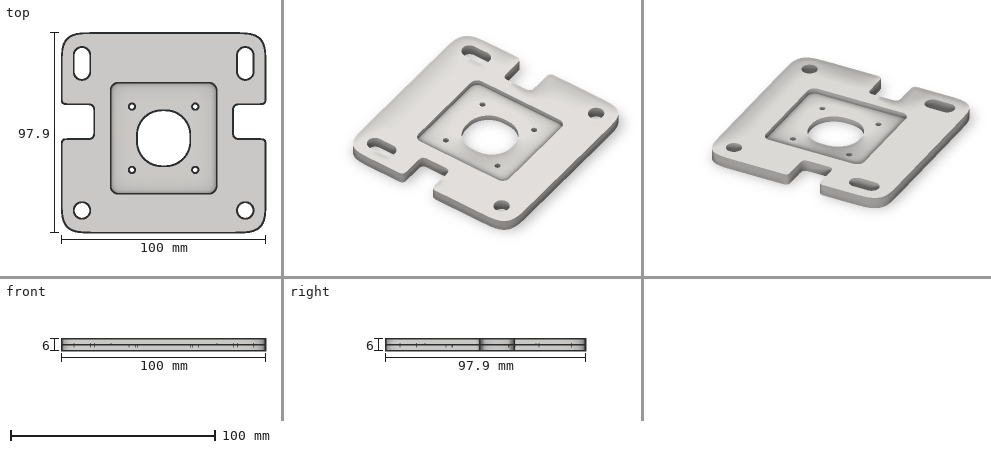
import cadquery as cq

PLATE_WIDTH = 100.0
PLATE_LENGTH = 97.89
PLATE_THICKNESS = 3.0
CORNER_REACH = 15.0

NOTCH_DEPTH = 16.0
NOTCH_TOP = 14.0
NOTCH_BOTTOM = -3.0
NOTCH_MOUTH_REACH = 3.2
NOTCH_FLOOR_REACH = 4.0

MOUNT_DIAMETER = 8.0
MOUNT_SPACING_X = 80.0
MOUNT_SPACING_Y = 76.0
SLOT_TRAVEL = 8.0

MOTOR_CENTER_Y = -2.65
SEAT_WIDTH = 52.0
SEAT_LENGTH = 54.5
SEAT_RADIUS = 4.0
BORE_WIDTH = 26.0
BORE_LENGTH = 27.25
BORE_RADIUS = 12.0
SCREW_DIAMETER = 3.0
SCREW_SPACING = 31.0


def point_towards(start, end, distance):
    """Point on the line from start to end, at a distance from start."""
    return start + (end - start).normalized() * distance


def blended_polygon(corners):
    """Closed wire through (x, y, reach) corners, each eased by a curvature-continuous blend."""
    points = [cq.Vector(x, y) for x, y, _ in corners]
    blends = []
    for i, (_, _, reach) in enumerate(corners):
        corner = points[i]
        before = points[i - 1]
        after = points[(i + 1) % len(points)]
        start = point_towards(corner, before, reach)
        end = point_towards(corner, after, reach)
        handle_in = point_towards(corner, before, reach / 2)
        handle_out = point_towards(corner, after, reach / 2)
        blends.append(cq.Edge.makeBezier([start, handle_in, corner, handle_out, end]))
    edges = []
    for i, blend in enumerate(blends):
        edges.append(cq.Edge.makeLine(blends[i - 1].endPoint(), blend.startPoint()))
        edges.append(blend)
    return cq.Wire.assembleEdges(edges)


def prism(corners):
    """One plate thickness of the blended polygon, standing on Z = 0."""
    rise = cq.Vector(0, 0, PLATE_THICKNESS)
    return cq.Workplane(cq.Solid.extrudeLinear(blended_polygon(corners), [], rise))


def rounded_rectangle(width, length, radius):
    """One plate thickness of a rectangle with circular corners, centred on the motor axis."""
    block = cq.Workplane().center(0, MOTOR_CENTER_Y).rect(width, length).extrude(PLATE_THICKNESS)
    return block.edges("|Z").fillet(radius)


def plate_outline():
    """Plate with its two side notches."""
    x = PLATE_WIDTH / 2
    y = PLATE_LENGTH / 2
    notch_x = x - NOTCH_DEPTH
    right_side = [
        (x, -y, CORNER_REACH),
        (x, NOTCH_BOTTOM, NOTCH_MOUTH_REACH),
        (notch_x, NOTCH_BOTTOM, NOTCH_FLOOR_REACH),
        (notch_x, NOTCH_TOP, NOTCH_FLOOR_REACH),
        (x, NOTCH_TOP, NOTCH_MOUTH_REACH),
        (x, y, CORNER_REACH),
    ]
    left_side = [(-px, py, reach) for px, py, reach in reversed(right_side)]
    return prism(right_side + left_side)


def mounting_cutters():
    """Round holes near the -Y corners and slots along Y near the +Y corners."""
    x = MOUNT_SPACING_X / 2
    y = MOUNT_SPACING_Y / 2
    holes = cq.Workplane().pushPoints([(-x, -y), (x, -y)]).circle(MOUNT_DIAMETER / 2)
    slots = cq.Workplane().pushPoints([(-x, y - SLOT_TRAVEL / 2), (x, y - SLOT_TRAVEL / 2)])
    slots = slots.slot2D(SLOT_TRAVEL + MOUNT_DIAMETER, MOUNT_DIAMETER, angle=90)
    return holes.extrude(PLATE_THICKNESS).add(slots.extrude(PLATE_THICKNESS)).combine()


def screw_cutters():
    """Four motor screw holes on a square."""
    screws = cq.Workplane().center(0, MOTOR_CENTER_Y).rect(SCREW_SPACING, SCREW_SPACING, forConstruction=True)
    return screws.vertices().circle(SCREW_DIAMETER / 2).extrude(PLATE_THICKNESS)


def make_base_plate():
    """Lower plate, carrying the motor bore and its screw holes."""
    bore = rounded_rectangle(BORE_WIDTH, BORE_LENGTH, BORE_RADIUS)
    return plate_outline().cut(mounting_cutters()).cut(bore).cut(screw_cutters())


def make_frame_plate():
    """Upper plate, open in the middle to form the motor seat."""
    seat = rounded_rectangle(SEAT_WIDTH, SEAT_LENGTH, SEAT_RADIUS)
    frame = plate_outline().cut(mounting_cutters()).cut(seat)
    return frame.translate((0, 0, PLATE_THICKNESS))


base_plate = make_base_plate()
frame_plate = make_frame_plate()

result = cq.Compound.makeCompound([base_plate.val(), frame_plate.val()])